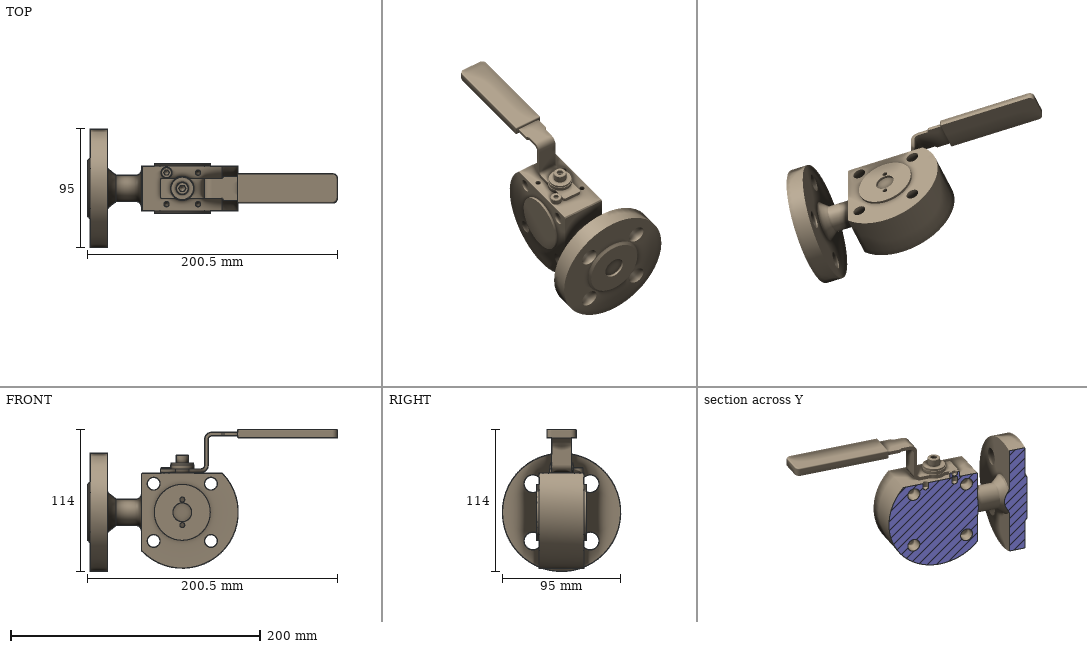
import cadquery as cq
import math


bolt_circle_diameter = 65.0
bolt_offset = bolt_circle_diameter / 2 * math.cos(math.radians(45))
bolt_points = [(sx * bolt_offset, sz * bolt_offset) for sx in (-1, 1) for sz in (-1, 1)]

body_radius = 45.0
body_width = 35.9
body_left = -32.9
body_top = 31.5
body_bolt_hole_diameter = 10.0
port_disc_diameter = 45.0
port_disc_height = 2.0
port_face_y = -body_width / 2 - port_disc_height
port_diameter = 15.0
port_depth = 2.0
pin_hole_diameter = 4.0
pin_hole_offset = 10.2
pin_hole_depth = 3.0

raised_face_x = -76.0
raised_face_height = 2.0
raised_face_radius = 22.5
raised_face_base_radius = 24.5
flange_radius = 47.5
flange_thickness = 14.0
flange_bolt_hole_diameter = 14.0
flange_bore_diameter = 17.2
flange_bore_depth = 2.0
flange_front_x = raised_face_x + raised_face_height
flange_back_x = flange_front_x + flange_thickness
neck_radius = 10.6
neck_cone_length = 5.8
neck_cone_radius = 15.2
neck_foot_length = 1.0
neck_foot_radius = 16.5
neck_flare = 4.2

lever_thickness = 3.0
lever_gap = 0.5
lever_left = -17.6
lever_width = 16.0
lever_wide_width = 19.2
lever_riser_x = 17.8
lever_top = 64.4
lever_bend_inner = 3.0
lever_bend_outer = lever_bend_inner + lever_thickness
lever_end_radius = 1.5
lever_step_x = 31.9
lever_step_length = 1.6
lever_bottom = body_top + lever_gap

handle_left = 44.3
handle_right = 124.5
handle_width = 23.7
handle_bottom = 59.8
handle_top = 66.5
handle_corner_radius = 4.0
handle_edge = 1.0

hub_diameter = 19.5
washer_diameter = 18.8
washer_height = 3.0
washer_cap_diameter = 18.0
washer_cap_height = 1.8
stem_head_diameter = 10.0
stem_head_height = 6.2
stem_socket_size = 5.0
stem_socket_depth = 3.0
screw_offset = 12.6
screw_hole_diameter = 4.2
screw_hole_depth = 5.0
screw_head_diameter = 8.8
screw_head_height = 4.6
screw_socket_size = 4.0
screw_socket_depth = 2.5
head_chamfer = 0.5
drill_point_angle = 118


def disc(x, y, bottom, diameter, height):
    """Upright cylinder standing at height `bottom`."""
    return cq.Workplane("XY", origin=(x, y, bottom)).circle(diameter / 2).extrude(height)


def drill_point(x, y, top, diameter):
    """Cone left by a drill tip, pointing down from height `top`."""
    radius = diameter / 2
    depth = radius / math.tan(math.radians(drill_point_angle / 2))
    cone = cq.Solid.makeCone(radius, 0, depth, cq.Vector(x, y, top), cq.Vector(0, 0, -1))
    return cq.Workplane(obj=cone)


def socket_head(x, y, bottom, diameter, height, socket_size, socket_depth):
    """Cylindrical screw head with a hexagon socket; socket_size is across flats."""
    across_corners = socket_size / math.cos(math.radians(30))
    head = disc(x, y, bottom, diameter, height).faces(">Z").chamfer(head_chamfer)
    head = head.faces(">Z").workplane().polygon(6, across_corners).cutBlind(-socket_depth)
    return head.cut(drill_point(x, y, bottom + height - socket_depth, socket_size))


def make_body():
    round_block = cq.Workplane("XZ").circle(body_radius).extrude(body_width / 2, both=True)
    trim = (
        cq.Workplane("XY", origin=(body_left, 0, -body_radius))
        .box(body_radius - body_left, body_width, body_radius + body_top, centered=(False, True, False))
    )
    port_discs = cq.Workplane("XZ").circle(port_disc_diameter / 2).extrude(-port_face_y, both=True)
    body = round_block.intersect(trim).union(port_discs)
    bolt_holes = (
        cq.Workplane("XZ")
        .pushPoints(bolt_points)
        .circle(body_bolt_hole_diameter / 2)
        .extrude(body_width, both=True)
    )
    port = cq.Workplane("XZ", origin=(0, port_face_y, 0)).circle(port_diameter / 2).extrude(-port_depth)
    pin_holes = (
        cq.Workplane("XZ", origin=(0, port_face_y, 0))
        .pushPoints([(0, pin_hole_offset), (0, -pin_hole_offset)])
        .circle(pin_hole_diameter / 2)
        .extrude(-pin_hole_depth)
    )
    body = body.cut(bolt_holes).cut(port).cut(pin_holes)
    hole_bottom = body_top - screw_hole_depth
    for x in (-screw_offset, screw_offset):
        for y in (-screw_offset, screw_offset):
            body = body.cut(disc(x, y, hole_bottom, screw_hole_diameter, screw_hole_depth))
            body = body.cut(drill_point(x, y, hole_bottom, screw_hole_diameter))
    return body


def make_flange_and_neck():
    cone_start = flange_back_x + neck_foot_length
    flare_mid = neck_flare * (1 - math.cos(math.radians(45)))
    profile = (
        cq.Workplane("XZ")
        .moveTo(raised_face_x, 0)
        .lineTo(raised_face_x, raised_face_radius)
        .lineTo(flange_front_x, raised_face_base_radius)
        .lineTo(flange_front_x, flange_radius)
        .lineTo(flange_back_x, flange_radius)
        .lineTo(flange_back_x, neck_foot_radius)
        .lineTo(cone_start, neck_cone_radius)
        .lineTo(cone_start + neck_cone_length, neck_radius)
        .lineTo(body_left - neck_flare, neck_radius)
        .threePointArc(
            (body_left - flare_mid, neck_radius + flare_mid),
            (body_left, neck_radius + neck_flare),
        )
        .lineTo(body_left, 0)
        .close()
    )
    flange = profile.revolve(360, (0, 0, 0), (1, 0, 0))
    bolt_holes = (
        cq.Workplane("YZ", origin=(flange_front_x, 0, 0))
        .pushPoints(bolt_points)
        .circle(flange_bolt_hole_diameter / 2)
        .extrude(flange_thickness)
    )
    bore = (
        cq.Workplane("YZ", origin=(raised_face_x, 0, 0))
        .circle(flange_bore_diameter / 2)
        .extrude(flange_bore_depth)
    )
    return flange.cut(bolt_holes).cut(bore)


def make_lever():
    riser_back_x = lever_riser_x + lever_thickness
    lever_end_x = handle_left + handle_edge
    strip = (
        cq.Workplane("XZ")
        .moveTo(lever_left, lever_bottom)
        .lineTo(riser_back_x, lever_bottom)
        .lineTo(riser_back_x, lever_top - lever_thickness)
        .lineTo(lever_end_x, lever_top - lever_thickness)
        .lineTo(lever_end_x, lever_top)
        .lineTo(lever_riser_x, lever_top)
        .lineTo(lever_riser_x, lever_bottom + lever_thickness)
        .lineTo(lever_left, lever_bottom + lever_thickness)
        .close()
        .extrude(lever_wide_width / 2, both=True)
    )
    bends = (
        (riser_back_x, lever_bottom, lever_bend_outer),
        (lever_riser_x, lever_bottom + lever_thickness, lever_bend_inner),
        (lever_riser_x, lever_top, lever_bend_outer),
        (riser_back_x, lever_top - lever_thickness, lever_bend_inner),
    )
    for x, z, radius in bends:
        corner = cq.selectors.NearestToPointSelector((x, 0, z))
        strip = strip.edges("|Y").edges(corner).fillet(radius)

    narrow = lever_width / 2
    wide = lever_wide_width / 2
    outline = (
        cq.Workplane("XY")
        .moveTo(lever_left, -narrow)
        .lineTo(lever_step_x, -narrow)
        .lineTo(lever_step_x + lever_step_length, -wide)
        .lineTo(lever_end_x, -wide)
        .lineTo(lever_end_x, wide)
        .lineTo(lever_step_x + lever_step_length, wide)
        .lineTo(lever_step_x, narrow)
        .lineTo(lever_left, narrow)
        .close()
        .extrude(handle_top)
        .edges("|Z and <X")
        .fillet(lever_end_radius)
    )
    return strip.intersect(outline)


def make_handle():
    length = handle_right - handle_left
    height = handle_top - handle_bottom
    sleeve = (
        cq.Workplane("XY", origin=(handle_left, 0, handle_bottom))
        .box(length, handle_width, height, centered=(False, True, False))
    )
    sleeve = sleeve.edges("|Z and >X").fillet(handle_corner_radius)
    return sleeve.faces(">Z or <X").edges().fillet(handle_edge)


def make_stem():
    hub_height = lever_gap + lever_thickness
    washer_bottom = body_top + hub_height
    cap_bottom = washer_bottom + washer_height
    head_bottom = cap_bottom + washer_cap_height
    stem = disc(0, 0, body_top, hub_diameter, hub_height)
    stem = stem.union(disc(0, 0, washer_bottom, washer_diameter, washer_height))
    stem = stem.union(disc(0, 0, cap_bottom, washer_cap_diameter, washer_cap_height))
    head = socket_head(
        0, 0, head_bottom, stem_head_diameter, stem_head_height, stem_socket_size, stem_socket_depth
    )
    return stem.union(head)


def make_stop_screw():
    return socket_head(
        -screw_offset,
        screw_offset,
        body_top,
        screw_head_diameter,
        screw_head_height,
        screw_socket_size,
        screw_socket_depth,
    )


result = (
    make_body()
    .union(make_flange_and_neck())
    .union(make_lever())
    .union(make_handle())
    .union(make_stem())
    .union(make_stop_screw())
)